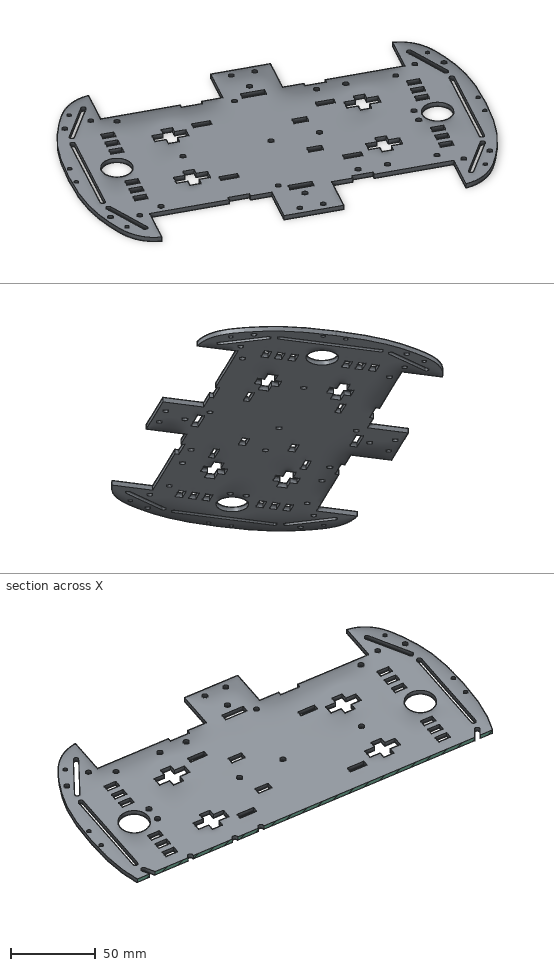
import cadquery as cq

LENGTH = 257.0
WIDTH = 150.0
THICKNESS = 3.0
HALF_LENGTH = LENGTH / 2
HALF_WIDTH = WIDTH / 2

BUMPER_BASE_Y = 93.5
BUMPER_SHOULDER = (53.2, 118.2)
CROWN_DIRECTION = (1, 0)
TIP_DIRECTION = (0.15, -1)
BODY_WIDTH = 100.2
TAB_LENGTH = 36.8
NOTCH_DEPTH = 2.3
NOTCH_LENGTH = 13.0
NOTCH_Y = 38.0

SLOT_WIDTH = 3.0
END_SLOT_LENGTH = 64.5
END_SLOT_Y = 116.7
SLANTED_SLOT_LENGTH = 32.6
SLANTED_SLOT_ANGLE = 30.0
SLANTED_SLOT_X = 50.5
SLANTED_SLOT_Y = 107.7

OPENING_DIAMETER = 19.0
OPENING_Y = 98.7

CROSS_X = 22.0
CROSS_Y = 59.0
CROSS_LENGTH = 20.8
CROSS_WIDTH = 14.6
CROSS_UPRIGHT_WIDTH = 6.2
CROSS_BAR_WIDTH = 7.0

ROW_X = 24.7
ROW_Y = 94.0
ROW_PITCH = 8.2
ROW_WINDOW = (4.4, 8.0)

MOTOR_WINDOW = (3.5, 11.3)
MOTOR_WINDOW_X = 28.0
CENTRE_WINDOW = (4.4, 9.0)
CENTRE_WINDOW_X = 15.2
CENTRE_WINDOW_Y = 18.8
TAB_WINDOW = (4.4, 14.6)
TAB_WINDOW_X = 48.5

SMALL_HOLE_DIAMETER = 2.5
MEDIUM_HOLE_DIAMETER = 3.3
LARGE_HOLE_DIAMETER = 3.5
SMALL_BUMPER_HOLES = [(7.0, 125.7), (59.0, 110.3)]
BUMPER_HOLES = [(46.8, 116.7), (50.0, 99.7)]
TAB_HOLES = [(70.2, 7.2)]
BODY_HOLES = [(42.1, 85.5), (44.7, -12.8)]
LARGE_BODY_HOLES = [(5.0, 85.5), (42.7, 55.0), (42.5, 37.0), (56.5, 0), (45.0, -85.0)]
CENTRE_LINE_HOLES = [(0, 26.0), (0, -3.9), (0, -58.0)]


def mirror_x(points):
    """Each point with its twin across the lengthwise centre line."""
    return [(side * x, y) for x, y in points for side in (-1, 1)]


def mirror_xy(points):
    """Each point repeated in all four quadrants."""
    return [(x, end * y) for x, y in mirror_x(points) for end in (-1, 1)]


def slab(length_x, length_y, points=((0, 0),)):
    """Full-thickness rectangular blocks centred on the given points."""
    return cq.Workplane("XY").pushPoints(points).rect(length_x, length_y).extrude(THICKNESS)


def bumper():
    """Bumper at the +Y end: one smooth curve from the crown down to each tip."""
    right_half = (
        cq.Workplane("XY")
        .moveTo(0, BUMPER_BASE_Y)
        .lineTo(0, HALF_LENGTH)
        .spline(
            [BUMPER_SHOULDER, (HALF_WIDTH, BUMPER_BASE_Y)],
            tangents=[CROWN_DIRECTION, TIP_DIRECTION],
            includeCurrent=True,
        )
        .close()
        .extrude(THICKNESS)
    )
    return right_half.union(right_half.mirror("YZ"), clean=False)


def outline():
    body = slab(BODY_WIDTH, 2 * BUMPER_BASE_Y)
    notch_x = (BODY_WIDTH - NOTCH_DEPTH) / 2
    notches = slab(NOTCH_DEPTH, NOTCH_LENGTH, mirror_xy([(notch_x, NOTCH_Y)]))
    tabs = slab(WIDTH, TAB_LENGTH)
    return body.cut(notches).union(tabs).union(bumper()).union(bumper().mirror("XZ"))


def cut_holes(plate, diameter, points):
    holes = cq.Workplane("XY").pushPoints(points).circle(diameter / 2).extrude(THICKNESS)
    return plate.cut(holes)


def cut_windows(plate, size, points):
    return plate.cut(slab(*size, points))


def cut_slot(plate, length, x, y, angle):
    slot = (
        cq.Workplane("XY")
        .center(x, y)
        .slot2D(length, SLOT_WIDTH, angle)
        .extrude(THICKNESS)
    )
    return plate.cut(slot)


def cut_bumper_slots(plate):
    for end in (-1, 1):
        plate = cut_slot(plate, END_SLOT_LENGTH, 0, end * END_SLOT_Y, 0)
        for side in (-1, 1):
            x = side * SLANTED_SLOT_X
            y = end * SLANTED_SLOT_Y
            plate = cut_slot(plate, SLANTED_SLOT_LENGTH, x, y, -side * end * SLANTED_SLOT_ANGLE)
    return plate


result = cut_bumper_slots(outline())

result = cut_holes(result, OPENING_DIAMETER, [(0, OPENING_Y), (0, -OPENING_Y)])
cross_points = mirror_xy([(CROSS_X, CROSS_Y)])
result = cut_windows(result, (CROSS_UPRIGHT_WIDTH, CROSS_LENGTH), cross_points)
result = cut_windows(result, (CROSS_WIDTH, CROSS_BAR_WIDTH), cross_points)

row_points = [(ROW_X + step * ROW_PITCH, ROW_Y) for step in (-1, 0, 1)]
result = cut_windows(result, ROW_WINDOW, mirror_xy(row_points))
result = cut_windows(result, MOTOR_WINDOW, mirror_xy([(MOTOR_WINDOW_X, NOTCH_Y)]))
result = cut_windows(result, CENTRE_WINDOW, mirror_x([(CENTRE_WINDOW_X, CENTRE_WINDOW_Y)]))
result = cut_windows(result, TAB_WINDOW, mirror_x([(TAB_WINDOW_X, 0)]))

result = cut_holes(result, SMALL_HOLE_DIAMETER, mirror_xy(SMALL_BUMPER_HOLES))
result = cut_holes(result, MEDIUM_HOLE_DIAMETER, mirror_xy(BUMPER_HOLES + TAB_HOLES))
result = cut_holes(result, MEDIUM_HOLE_DIAMETER, mirror_x(BODY_HOLES))
result = cut_holes(result, LARGE_HOLE_DIAMETER, mirror_x(LARGE_BODY_HOLES))
result = cut_holes(result, LARGE_HOLE_DIAMETER, CENTRE_LINE_HOLES)